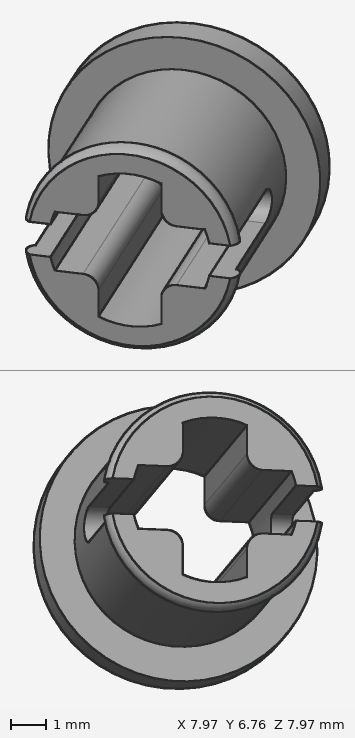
import cadquery as cq

FLANGE_RADIUS = 3.985
FLANGE_THICKNESS = 1.0
BODY_RADIUS = 2.985
TOTAL_LENGTH = 6.76
BEAD_WIDTH = 0.65
BEAD_HEIGHT = 0.18
BORE_RADIUS = 2.38
CROSS_ARM_WIDTH = 1.84
CROSS_CORNER_RADIUS = 0.45
SLOT_WIDTH = 1.02
SLOT_END_TO_FLANGE = 1.5

FLANGE_END = TOTAL_LENGTH / 2
FLANGE_SHOULDER = FLANGE_END - FLANGE_THICKNESS
TIP = -TOTAL_LENGTH / 2
BEAD_START = TIP + BEAD_WIDTH
SLOT_END = FLANGE_SHOULDER - SLOT_END_TO_FLANGE


def make_bush():
    """Flanged sleeve with a rounded retaining bead at its tip, turned about Y."""
    bead_middle = TIP + BEAD_WIDTH / 2
    return (
        cq.Workplane("ZY")
        .moveTo(0, TIP)
        .lineTo(BODY_RADIUS, TIP)
        .threePointArc((BODY_RADIUS + BEAD_HEIGHT, bead_middle), (BODY_RADIUS, BEAD_START))
        .lineTo(BODY_RADIUS, FLANGE_SHOULDER)
        .lineTo(FLANGE_RADIUS, FLANGE_SHOULDER)
        .lineTo(FLANGE_RADIUS, FLANGE_END)
        .lineTo(0, FLANGE_END)
        .close()
        .revolve(360, (0, 0, 0), (0, 1, 0))
    )


def make_cross_bore():
    """Cross-shaped through hole with round arm ends and filleted inner corners."""
    flange_face = cq.Workplane("XZ", origin=(0, FLANGE_END, 0))
    arm_length = 2 * BORE_RADIUS
    upright_arm = flange_face.rect(CROSS_ARM_WIDTH, arm_length).extrude(TOTAL_LENGTH)
    level_arm = flange_face.rect(arm_length, CROSS_ARM_WIDTH).extrude(TOTAL_LENGTH)
    reach = (CROSS_ARM_WIDTH / 2 + BORE_RADIUS) / 2
    inner_corners = cq.selectors.BoxSelector(
        (-reach, TIP, -reach),
        (reach, FLANGE_END, reach),
    )
    cross = upright_arm.union(level_arm).edges("|Y").edges(inner_corners).fillet(CROSS_CORNER_RADIUS)
    return cross.intersect(flange_face.circle(BORE_RADIUS).extrude(TOTAL_LENGTH))


def make_side_slot():
    """Slot across the whole sleeve along X, open at the tip and round at its inner end."""
    half_width = SLOT_WIDTH / 2
    round_start = SLOT_END - half_width
    return (
        cq.Workplane("YZ")
        .moveTo(TIP, -half_width)
        .lineTo(round_start, -half_width)
        .threePointArc((SLOT_END, 0), (round_start, half_width))
        .lineTo(TIP, half_width)
        .close()
        .extrude(FLANGE_RADIUS, both=True)
    )


result = make_bush().cut(make_cross_bore()).cut(make_side_slot())